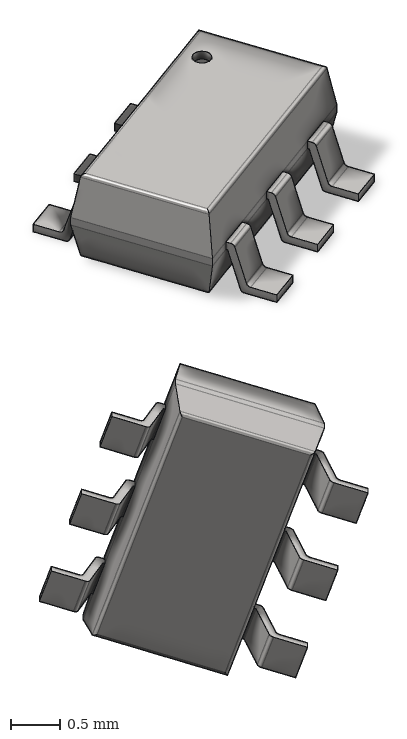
import cadquery as cq
import math

overall_width = 2.75
overall_height = 1.1
body_width = 1.6
body_length = 2.9
standoff = 0.05

belt_top = 0.58
lead_thickness = 0.095
belt_bottom = belt_top - lead_thickness
taper_inset = 0.08
rim_radius = 0.04

mark_diameter = 0.2
mark_depth = 0.1
mark_side_distance = 0.32

lead_width = 0.375
lead_pitch = 0.95
leads_per_side = 3
foot_length = 0.332
leg_angle = 17.5
bend_radius = 0.05
shoulder_inner_radius = 0.008

row_positions = [(i - (leads_per_side - 1) / 2) * lead_pitch for i in range(leads_per_side)]
mark_x = mark_side_distance - body_width / 2
mark_y = max(row_positions)


def tapered_half(belt_z, end_z):
    """Frustum from the belt outline at belt_z to the inset outline at end_z."""
    return (
        cq.Workplane("XY", origin=(0, 0, belt_z))
        .rect(body_width, body_length)
        .workplane(offset=end_z - belt_z)
        .rect(body_width - 2 * taper_inset, body_length - 2 * taper_inset)
        .loft(ruled=True)
    )


def make_housing():
    """Moulded body with rounded top and bottom rims and the pin 1 mark."""
    belt = (
        cq.Workplane("XY", origin=(0, 0, belt_bottom))
        .rect(body_width, body_length)
        .extrude(lead_thickness)
    )
    body = belt.union(tapered_half(belt_top, overall_height))
    body = body.union(tapered_half(belt_bottom, standoff))
    body = body.faces(">Z or <Z").edges().fillet(rim_radius)
    mark = (
        cq.Workplane("XY", origin=(mark_x, mark_y, overall_height))
        .circle(mark_diameter / 2)
        .extrude(-mark_depth)
    )
    return body.cut(mark)


def make_lead(side, y):
    """Gull-wing lead on the side -1 or +1, butting against the belt at row y."""
    slope = math.tan(math.radians(leg_angle))
    leg_run = lead_thickness / math.cos(math.radians(leg_angle))
    tip_x = overall_width / 2
    root_x = body_width / 2

    foot_top_x = tip_x - foot_length
    shoulder_top_x = foot_top_x - slope * (belt_top - lead_thickness)
    heel_x = foot_top_x - leg_run + slope * lead_thickness
    shoulder_under_x = heel_x - slope * belt_bottom
    foot_top = (side * foot_top_x, lead_thickness)
    shoulder_top = (side * shoulder_top_x, belt_top)
    heel = (side * heel_x, 0)
    shoulder_under = (side * shoulder_under_x, belt_bottom)

    lead = (
        cq.Workplane("XZ", origin=(0, y + lead_width / 2, 0))
        .moveTo(side * root_x, belt_top)
        .lineTo(*shoulder_top)
        .lineTo(*foot_top)
        .lineTo(side * tip_x, lead_thickness)
        .lineTo(side * tip_x, 0)
        .lineTo(*heel)
        .lineTo(*shoulder_under)
        .lineTo(side * root_x, belt_bottom)
        .close()
        .extrude(lead_width)
    )

    def bend(part, corner, radius):
        """Round the bend line that runs across the lead through a profile corner."""
        line = cq.selectors.NearestToPointSelector((corner[0], y, corner[1]))
        return part.edges("|Y").edges(line).fillet(radius)

    lead = bend(lead, shoulder_under, shoulder_inner_radius)
    for corner in (shoulder_top, foot_top, heel):
        lead = bend(lead, corner, bend_radius)
    return lead


housing = make_housing()
leads = [make_lead(side, y) for side in (-1, 1) for y in row_positions]

result = cq.Compound.makeCompound([housing.val(), *[lead.val() for lead in leads]])